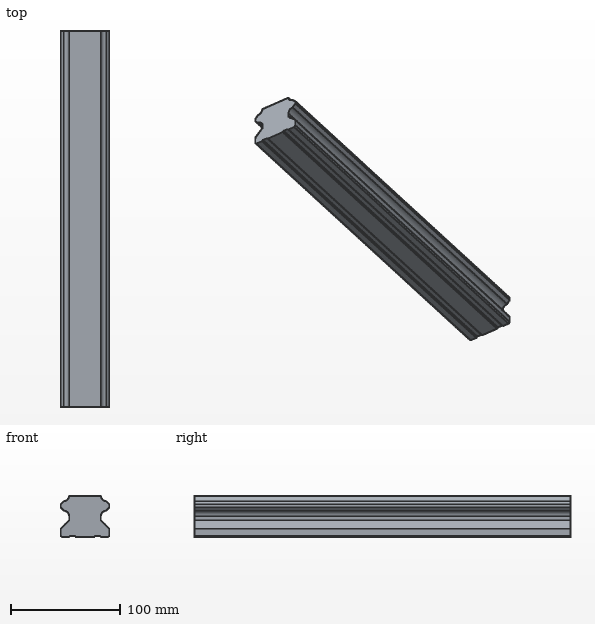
import cadquery as cq
import math

length = 345.0
width = 45.0
height = 38.0

neck_half_width = 14.5
nose_top = 30.0
nose_bottom = 27.3
nose_bevel = 3.0
ball_groove_depth = 1.0
groove_lip_width = 0.5
groove_lip_height = 1.0

web_bottom = 15.5
foot_chamfer = 1.5
relief_inner = 8.3
relief_outer = 15.0
relief_depth = 1.0

half_width = width / 2
shoulder_half_width = half_width - nose_bevel
lip_half_width = neck_half_width + groove_lip_width
foot_top = web_bottom - (half_width - neck_half_width)
web_top = nose_top + nose_bottom - height

upper_groove_start = (lip_half_width, height - groove_lip_height)
upper_groove_end = (shoulder_half_width, nose_top + nose_bevel)
lower_groove_start = (shoulder_half_width, nose_bottom - nose_bevel)
lower_groove_end = (lip_half_width, web_top + groove_lip_height)


def groove_middle(start, end):
    """Return the deepest point of a ball groove that runs from start to end."""
    run = end[0] - start[0]
    rise = end[1] - start[1]
    chord = math.hypot(run, rise)
    return (
        (start[0] + end[0]) / 2 + ball_groove_depth * rise / chord,
        (start[1] + end[1]) / 2 - ball_groove_depth * run / chord,
    )


def half_rail():
    """Extrude the +X half of the profile along the rail, centred on Y."""
    profile = (
        cq.Workplane("XZ")
        .moveTo(0, height)
        .lineTo(neck_half_width, height)
        .lineTo(*upper_groove_start)
        .threePointArc(groove_middle(upper_groove_start, upper_groove_end), upper_groove_end)
        .lineTo(half_width, nose_top)
        .lineTo(half_width, nose_bottom)
        .lineTo(*lower_groove_start)
        .threePointArc(groove_middle(lower_groove_start, lower_groove_end), lower_groove_end)
        .lineTo(neck_half_width, web_top)
        .lineTo(neck_half_width, web_bottom)
        .lineTo(half_width, foot_top)
        .lineTo(half_width, foot_chamfer)
        .lineTo(half_width - foot_chamfer, 0)
        .lineTo(relief_outer, 0)
        .lineTo(relief_outer - relief_depth, relief_depth)
        .lineTo(relief_inner + relief_depth, relief_depth)
        .lineTo(relief_inner, 0)
        .lineTo(0, 0)
        .close()
    )
    return profile.extrude(length / 2, both=True)


right_half = half_rail()
result = right_half.union(right_half.mirror("YZ")).clean()